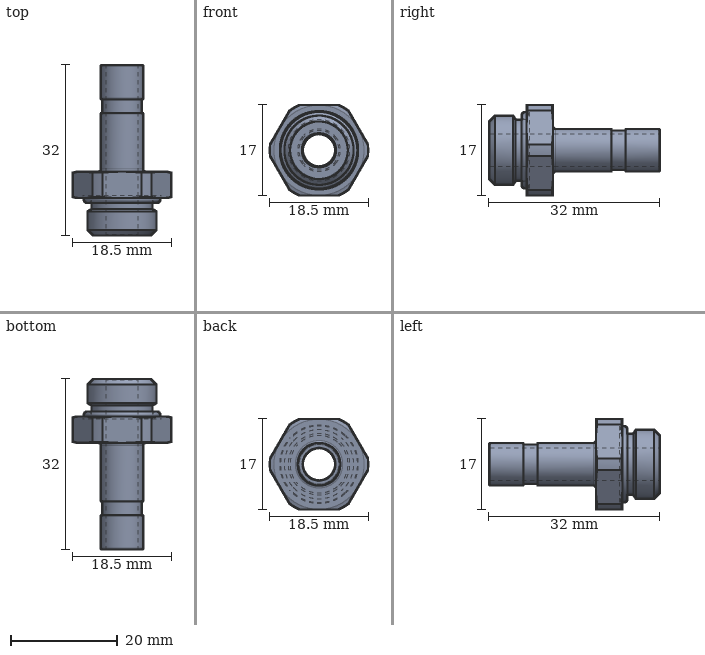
import cadquery as cq
import math

length = 32.0

bore_radius = 3.0
bore_chamfer = 0.2

thread_radius = 6.5
thread_chamfer = 1.1
thread_back = 4.48
neck_radius = 5.75
neck_start = 4.95

hex_start = 7.0
hex_width = 5.0
hex_end = hex_start + hex_width
across_flats = 17.0
corner_radius = 9.25
hex_face_radius = 8.45
hex_chamfer_angle = 15.0

ring_section_radius = 0.72
ring_front = 6.08
ring_radius = neck_radius + ring_section_radius
ring_center = ring_front + ring_section_radius
recess_radius = 7.35
recess_floor = ring_front + 2 * ring_section_radius

tube_radius = 4.0
root_fillet = 0.45
groove_radius = 3.75
groove_start = 22.98
groove_end = 25.55
groove_fillet = 0.22
end_fillet = 0.3


def revolve_about_y(profile):
    return profile.revolve(360, (0, 0, 0), (0, 1, 0))


def make_threaded_end():
    profile = (
        cq.Workplane("XY")
        .moveTo(0, 0)
        .lineTo(thread_radius - thread_chamfer, 0)
        .lineTo(thread_radius, thread_chamfer)
        .lineTo(thread_radius, thread_back)
        .lineTo(neck_radius, neck_start)
        .lineTo(neck_radius, recess_floor)
        .lineTo(0, recess_floor)
        .close()
    )
    return revolve_about_y(profile)


def make_hexagon():
    hexagon = (
        cq.Workplane("XZ", origin=(0, hex_start, 0))
        .polygon(6, across_flats / math.cos(math.radians(30)))
        .extrude(-hex_width)
    )
    chamfer_depth = (corner_radius - hex_face_radius) * math.tan(math.radians(hex_chamfer_angle))
    turned_blank = revolve_about_y(
        cq.Workplane("XY")
        .moveTo(0, hex_start)
        .lineTo(hex_face_radius, hex_start)
        .lineTo(corner_radius, hex_start + chamfer_depth)
        .lineTo(corner_radius, hex_end - chamfer_depth)
        .lineTo(hex_face_radius, hex_end)
        .lineTo(0, hex_end)
        .close()
    )
    recess = (
        cq.Workplane("XZ", origin=(0, hex_start, 0))
        .circle(recess_radius)
        .extrude(-(recess_floor - hex_start))
    )
    return hexagon.intersect(turned_blank).cut(recess)


def make_tube():
    fillet_reach = root_fillet * (1 - math.sqrt(0.5))
    profile = (
        cq.Workplane("XY")
        .moveTo(0, hex_end)
        .lineTo(tube_radius + root_fillet, hex_end)
        .threePointArc((tube_radius + fillet_reach, hex_end + fillet_reach),
                       (tube_radius, hex_end + root_fillet))
        .lineTo(tube_radius, groove_start - groove_fillet)
        .radiusArc((tube_radius - groove_fillet, groove_start), -groove_fillet)
        .lineTo(groove_radius, groove_start)
        .lineTo(groove_radius, groove_end)
        .lineTo(tube_radius - groove_fillet, groove_end)
        .radiusArc((tube_radius, groove_end + groove_fillet), -groove_fillet)
        .lineTo(tube_radius, length - end_fillet)
        .radiusArc((tube_radius - end_fillet, length), -end_fillet)
        .lineTo(0, length)
        .close()
    )
    return revolve_about_y(profile)


def make_bore():
    profile = (
        cq.Workplane("XY")
        .moveTo(0, 0)
        .lineTo(bore_radius + bore_chamfer, 0)
        .lineTo(bore_radius, bore_chamfer)
        .lineTo(bore_radius, length)
        .lineTo(0, length)
        .close()
    )
    return revolve_about_y(profile)


def make_fitting():
    return make_hexagon().union(make_threaded_end()).union(make_tube()).cut(make_bore())


def make_sealing_ring():
    section = cq.Workplane("XY").moveTo(ring_radius, ring_center).circle(ring_section_radius)
    return revolve_about_y(section)


fitting = make_fitting()
sealing_ring = make_sealing_ring()

result = cq.Compound.makeCompound([fitting.val(), sealing_ring.val()])